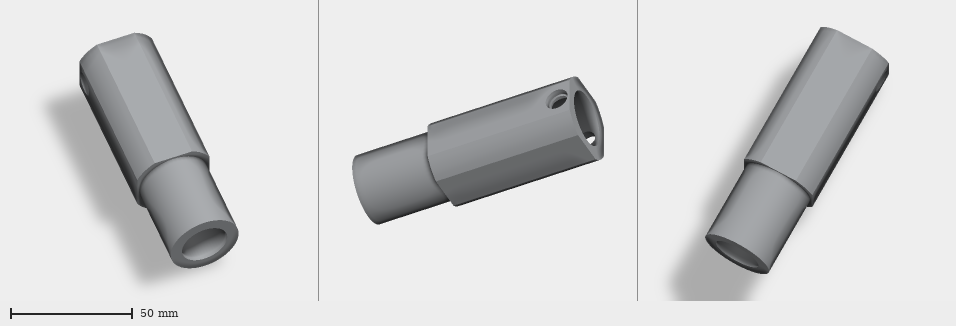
import cadquery as cq

total_length = 100.0
body_length = 65.0
across_flats = 32.0
body_diameter = 36.0
spigot_diameter = 30.0

socket_diameter = 24.0
socket_depth = body_length
bore_diameter = 20.0

cross_hole_x = 6.0
cross_hole_diameter = 8.0
counterbore_diameter = 10.0
counterbore_depth = 3.0


def cylinder_along_x(diameter, length):
    return cq.Workplane("YZ").circle(diameter / 2).extrude(length)


def make_body():
    """Round bar with four flats."""
    square_bar = cq.Workplane("YZ").rect(across_flats, across_flats).extrude(body_length)
    return cylinder_along_x(body_diameter, body_length).intersect(square_bar)


def cross_cylinder(diameter, length):
    """Cylinder along Y through the cross hole centre, centred on Y = 0."""
    return (
        cq.Workplane("XZ")
        .center(cross_hole_x, 0)
        .circle(diameter / 2)
        .extrude(length / 2, both=True)
    )


def make_cross_holes():
    """Through hole with a flat-bottomed counterbore from each side flat."""
    counterbore_floor_spacing = across_flats - 2 * counterbore_depth
    counterbores = cross_cylinder(counterbore_diameter, across_flats).cut(
        cross_cylinder(counterbore_diameter, counterbore_floor_spacing)
    )
    return cross_cylinder(cross_hole_diameter, across_flats).union(counterbores)


result = make_body().union(cylinder_along_x(spigot_diameter, total_length))
result = result.cut(cylinder_along_x(bore_diameter, total_length))
result = result.cut(cylinder_along_x(socket_diameter, socket_depth))
result = result.cut(make_cross_holes())